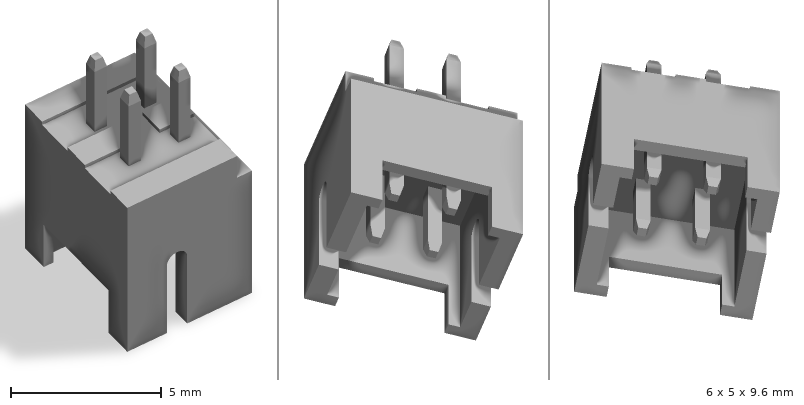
import cadquery as cq


width = 6.0
depth = 5.0
total_height = 9.6
pin_rise = 3.0
pitch = 2.0

side_wall = 0.68
end_wall = 0.4
roof = 1.6

pin_side = 0.5
pin_tip_side = 0.3
pin_taper = 0.4
pin_bottom = 2.0
front_row_y = 1.5

notch_width = 3.82
notch_height = 1.95
slot_width = 0.81
slot_height = 3.49
slot_y = 2.0
step_depth = 0.6
step_drop = 1.0

recess_depth = 0.15
side_pad_width = 1.0
middle_pad_width = 1.02
front_pad_length = 2.02
back_pad_start = 3.0

housing_height = total_height - pin_rise
cavity_height = housing_height - roof
recess_floor = housing_height - recess_depth


def block(x_size, y_start, y_end, z_start, z_end):
    """Box centred in X between the given Y and Z limits."""
    return (
        cq.Workplane("XY")
        .box(x_size, y_end - y_start, z_end - z_start, centered=(True, False, False))
        .translate((0, y_start, z_start))
    )


def make_housing():
    """Outer block with the cavity, back step, wall notches and side slots removed."""
    body = block(width, 0, depth, 0, housing_height)
    cavity = block(width - 2 * side_wall, end_wall, depth - end_wall, 0, cavity_height)
    step = block(width, depth - step_depth, depth, housing_height - step_drop, housing_height)
    notch = block(notch_width, 0, depth, 0, notch_height)
    return body.cut(cavity).cut(step).cut(notch).cut(make_side_slot())


def make_side_slot():
    """Cutter running the full width, with a half-round top."""
    radius = slot_width / 2
    spring_height = slot_height - radius
    return (
        cq.Workplane("YZ")
        .moveTo(slot_y - radius, 0)
        .lineTo(slot_y - radius, spring_height)
        .threePointArc((slot_y, slot_height), (slot_y + radius, spring_height))
        .lineTo(slot_y + radius, 0)
        .close()
        .extrude(width / 2, both=True)
    )


def make_top_recess():
    """Shallow cutter between the side pads, leaving the two middle pads."""
    recess = block(width - 2 * side_pad_width, 0, depth, recess_floor, housing_height)
    front_pad = block(middle_pad_width, 0, front_pad_length, recess_floor, housing_height)
    back_pad = block(middle_pad_width, back_pad_start, depth, recess_floor, housing_height)
    return recess.cut(front_pad).cut(back_pad)


def make_pin_tip(base_height, tip_height):
    """Square taper from the full pin section to the blunt end."""
    return (
        cq.Workplane("XY", origin=(0, 0, base_height))
        .rect(pin_side, pin_side)
        .workplane(offset=tip_height - base_height)
        .rect(pin_tip_side, pin_tip_side)
        .loft(ruled=True)
    )


def make_pin():
    """Square pin on the Z axis, tapered at both ends."""
    shank_bottom = pin_bottom + pin_taper
    shank_top = total_height - pin_taper
    shank = block(pin_side, -pin_side / 2, pin_side / 2, shank_bottom, shank_top)
    lower_tip = make_pin_tip(shank_bottom, pin_bottom)
    upper_tip = make_pin_tip(shank_top, total_height)
    return shank.union(lower_tip).union(upper_tip)


result = make_housing().cut(make_top_recess())
pin = make_pin()
for pin_x in (-pitch / 2, pitch / 2):
    for pin_y in (front_row_y, front_row_y + pitch):
        result = result.union(pin.translate((pin_x, pin_y, 0)))